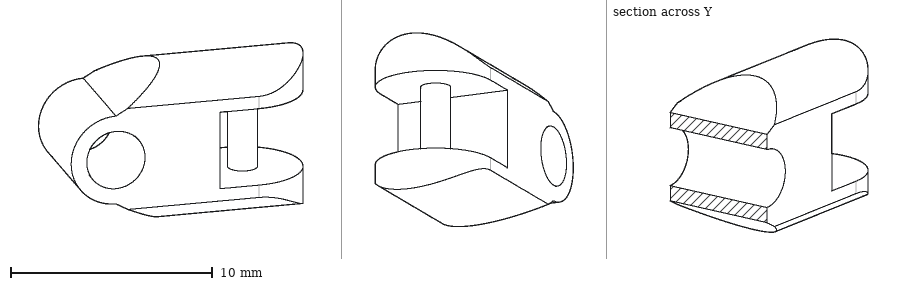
import cadquery as cq

length = 12.66
width = 6.0
height = 8.0

eye_radius = 2.3
eye_bore_diameter = 3.0
taper_run = 3.0

slot_height = 4.0
slot_depth = 5.0
pin_diameter = 1.5

body_radius = height / 2
end_radius = width / 2
back_y = length - eye_radius
end_center_y = back_y - end_radius


def x_cylinder(diameter):
    """Cylinder along X through the origin, spanning the full width."""
    return cq.Workplane("YZ").circle(diameter / 2).extrude(width / 2, both=True)


def side_profile():
    """Full-width body in side outline, tapering to the top and bottom of the eye."""
    return (
        cq.Workplane("YZ")
        .moveTo(0, eye_radius)
        .lineTo(taper_run, body_radius)
        .lineTo(back_y, body_radius)
        .lineTo(back_y, -body_radius)
        .lineTo(taper_run, -body_radius)
        .lineTo(0, -eye_radius)
        .close()
        .extrude(width / 2, both=True)
    )


def rounded_plan():
    """Plan outline with a half-round +Y end."""
    return (
        cq.Workplane("XY")
        .moveTo(-end_radius, 0)
        .lineTo(-end_radius, end_center_y)
        .threePointArc((0, back_y), (end_radius, end_center_y))
        .lineTo(end_radius, 0)
        .close()
        .extrude(height / 2, both=True)
    )


bar = cq.Workplane("XZ").circle(body_radius).extrude(-back_y)
body = bar.intersect(side_profile()).intersect(rounded_plan())

body = body.union(x_cylinder(2 * eye_radius)).cut(x_cylinder(eye_bore_diameter))

slot = cq.Workplane("XY").box(width, slot_depth, slot_height)
body = body.cut(slot.translate((0, back_y - slot_depth / 2, 0)))

pin_length = (slot_height + height) / 2
pin = (
    cq.Workplane("XY", origin=(0, end_center_y, -pin_length / 2))
    .circle(pin_diameter / 2)
    .extrude(pin_length)
)

result = body.union(pin)